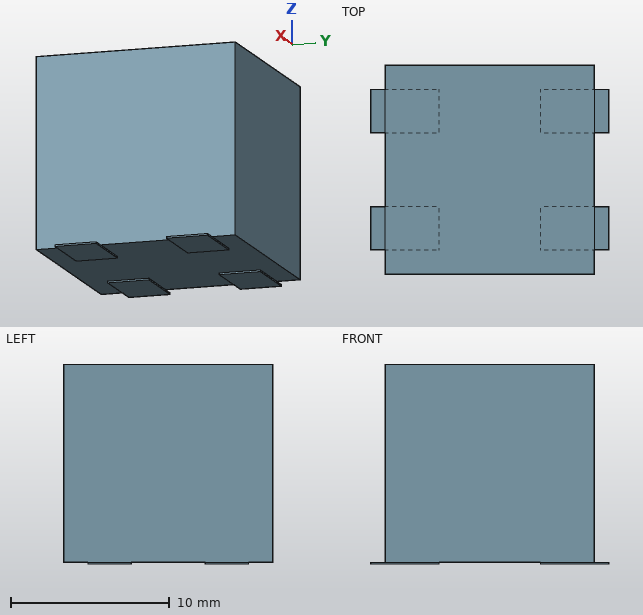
import cadquery as cq

overall_length = 15.02
body_width = 13.2
overall_height = 12.6

terminal_length = 4.33
terminal_width = 2.73
terminal_thickness = 0.1
terminal_pitch = 7.39

body_height = overall_height - terminal_thickness
terminal_offset_x = (overall_length - terminal_length) / 2
terminal_offset_y = terminal_pitch / 2


def make_body():
    """Square block resting on top of the terminals."""
    return (
        cq.Workplane("XY")
        .workplane(offset=terminal_thickness)
        .rect(body_width, body_width)
        .extrude(body_height)
    )


def make_terminal(x, y):
    """Thin rectangular strip centred at (x, y), with its underside at Z = 0."""
    return (
        cq.Workplane("XY")
        .center(x, y)
        .rect(terminal_length, terminal_width)
        .extrude(terminal_thickness)
    )


body = make_body()

terminals = []
for side_x in (-1, 1):
    for side_y in (-1, 1):
        terminals.append(make_terminal(side_x * terminal_offset_x, side_y * terminal_offset_y))

result = cq.Compound.makeCompound([body.val(), *[terminal.val() for terminal in terminals]])